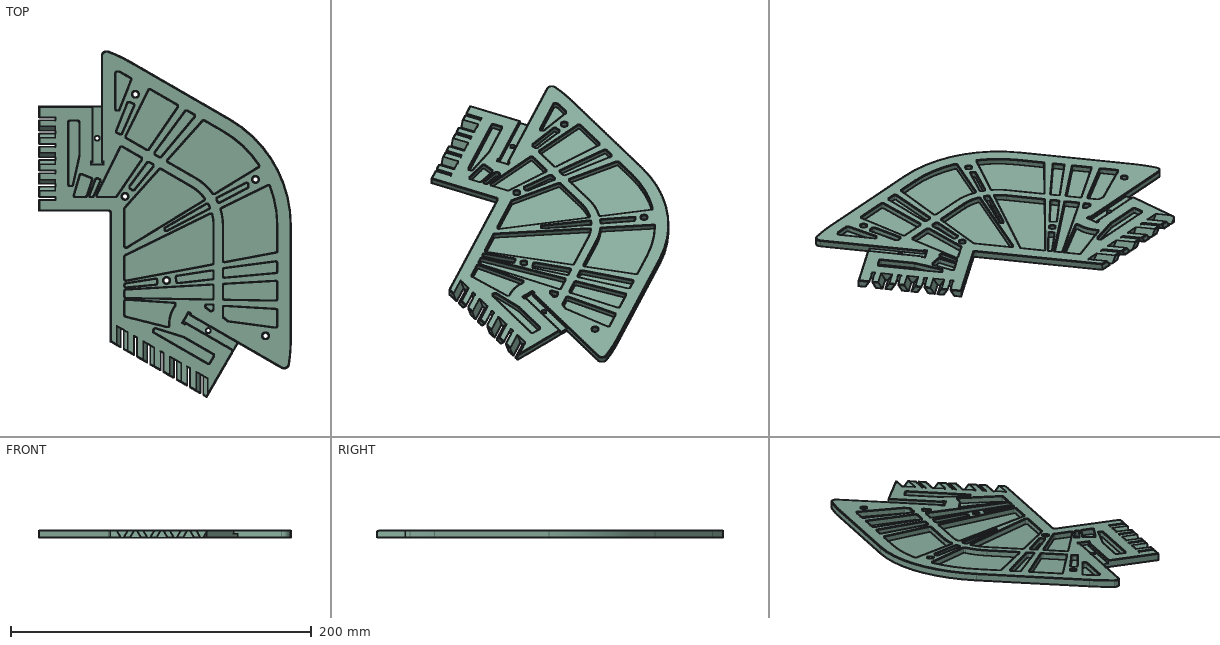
import cadquery as cq
import math

axis_angle = 30

thickness = 5.0
outer_radius = 81.7
straight_length = 76.0
bend_radius = 103.5
tip_radius = 3.5
wall_distance = 44.5

arm_end = 86.0
arm_side = 79.1
inner_corner = (-38.5, 9.7)
inner_corner_radius = 1.4

edge_chamfer = 0.5

floor_thickness = 1.2
margin = 9.5
spine_inner = 30.0
spine_outer = 36.5
pocket_corner_radius = 1.0

groove_width = 5.8
groove_end = 40.7
groove_depth = 2.3
relief_length = 1.4
relief_overhang = 1.0

hole_diameter = 4.0
groove_hole_diameter = 3.2

slot_span = 53.0
slot_count = 7
finger_pitch = slot_span / (slot_count - 1)
finger_depth = 11.0
slot_narrow = 1.73
slot_wall_angle = 30
slot_flare = thickness * math.tan(math.radians(slot_wall_angle))
left_slots_middle = (inner_corner[1] + arm_side) / 2
lower_slots_middle = -4.1

reach = 138


def mirrored(point):
    """Reflect a point about the symmetry line."""
    x, y = point
    double = math.radians(2 * axis_angle)
    return (
        x * math.cos(double) + y * math.sin(double),
        x * math.sin(double) - y * math.cos(double),
    )


def on_circle(centre, radius, degrees):
    angle = math.radians(degrees)
    return (centre[0] + radius * math.cos(angle), centre[1] + radius * math.sin(angle))


def prism(points, bottom=0.0, height=thickness):
    return cq.Workplane("XY").workplane(offset=bottom).polyline(points).close().extrude(height)



def tip_angle(bend_centre):
    """Angle on the lower bend, in degrees, at which it meets the lower plate wall."""
    wall_normal = 180 + 2 * axis_angle
    normal = on_circle((0, 0), 1, wall_normal)
    to_wall = wall_distance - bend_centre[0] * normal[0] - bend_centre[1] * normal[1]
    return wall_normal + math.degrees(math.acos(to_wall / bend_radius)) - 360


def make_blank():
    """Solid plate with both arms, before anything is cut into it."""
    bend_start = (outer_radius, -straight_length)
    bend_centre = (outer_radius - bend_radius, -straight_length)
    end_angle = tip_angle(bend_centre)
    bend_middle = on_circle(bend_centre, bend_radius, end_angle / 2)
    tip = on_circle(bend_centre, bend_radius, end_angle)

    arm_root = (-wall_distance, arm_side)
    arm_corner = (-arm_end, arm_side)
    slope = math.tan(math.radians(axis_angle))
    lower_end = -arm_end / math.cos(math.radians(axis_angle)) - inner_corner[0] * slope

    blank = (
        cq.Workplane("XY")
        .moveTo(-arm_end, inner_corner[1])
        .lineTo(*arm_corner)
        .lineTo(*arm_root)
        .lineTo(*mirrored(tip))
        .threePointArc(mirrored(bend_middle), mirrored(bend_start))
        .lineTo(*mirrored((outer_radius, 0)))
        .threePointArc(on_circle((0, 0), outer_radius, axis_angle), (outer_radius, 0))
        .lineTo(*bend_start)
        .threePointArc(bend_middle, tip)
        .lineTo(*mirrored(arm_root))
        .lineTo(*mirrored(arm_corner))
        .lineTo(inner_corner[0], lower_end)
        .lineTo(*inner_corner)
        .close()
        .extrude(thickness)
    )
    for corner, radius in (
        (tip, tip_radius),
        (mirrored(tip), tip_radius),
        (inner_corner, inner_corner_radius),
    ):
        point = (corner[0], corner[1], thickness / 2)
        blank = blank.edges(cq.selectors.NearestToPointSelector(point)).fillet(radius)
    return blank



def inside(distance):
    """Everything closer to the origin than an outline parallel to the outer sides."""
    far_end = (distance, -reach)
    return (
        cq.Workplane("XY")
        .moveTo(*far_end)
        .lineTo(distance, 0)
        .threePointArc(on_circle((0, 0), distance, axis_angle), mirrored((distance, 0)))
        .lineTo(*mirrored(far_end))
        .lineTo(-reach, -reach)
        .close()
        .extrude(thickness)
    )


floor_left = inner_corner[0] + margin
floor_bottom = inner_corner[1] + margin
outer_band = inside(outer_radius - margin).cut(inside(spine_outer))
inner_band = inside(spine_inner).cut(
    prism([(-reach, -reach), (floor_left, -reach), (floor_left, floor_bottom), (-reach, floor_bottom)])
)

two_band_cells = [
    [(-50.6, 13.8), (-9.5, 97.3), (13.5, 89.7), (-39.8, 11.7)],
    [(-47.9, -9.7), (33.8, 81.7), (76.0, 48.8), (-39.3, -21.6)],
    [(-39.3, -25.3), (76.0, 31.3), (82.8, -15.6), (-39.3, -38.7)],
    [(-39.3, -43.5), (82.8, -36.4), (82.8, -50.0), (-39.3, -47.9)],
]
outer_cells = [
    [(-12.9, 43.0), (18.6, 85.8), (27.5, 84.7), (-9.7, 40.0)],
    [(31.0, 17.5), (53.0, 28.8), (53.0, 25.3), (31.0, 13.8)],
    [(32.2, -29.2), (82.8, -22.5), (82.8, -30.4), (32.2, -35.0)],
    [(32.2, -53.4), (82.8, -56.4), (82.8, -69.3), (39.8, -63.5), (36.4, -60.7), (32.2, -57.3)],
]
inner_cells = [
    [(-26.0, 25.3), (-9.2, 48.0), (-3.7, 47.2), (-23.2, 23.2)],
    [(-2.8, -2.0), (31.0, 17.5), (31.0, 13.3), (-1.5, -3.7)],
    [(5.0, -33.8), (34.5, -29.2), (34.5, -35.0), (5.8, -38.2)],
    [(-32.2, -39.3), (-7.5, -35.5), (-7.5, -39.0), (-32.2, -41.5)],
    [(24.8, -52.7), (34.5, -52.7), (34.5, -51.5), (28.5, -57.0), (24.8, -54.3)],
    [(-58.5, 34.3), (-50.6, 31.0), (-56.4, 13.8), (-64.5, 13.8)],
    [(-47.9, 31.5), (-45.0, 30.1), (-52.5, 13.8), (-54.8, 13.8)],
]
wall_cells = [
    [(-35.0, 102.2), (-32.7, 102.2), (-24.6, 97.5), (-33.0, 76.5), (-35.0, 76.5)],
    [(-26.7, 82.1), (-22.5, 80.5), (-31.3, 60.5), (-34.7, 62.1)],
]
arm_pocket = [(-66.3, 69.5), (-59.4, 69.5), (-59.4, 46.0), (-63.7, 26.5), (-66.3, 26.5)]


def rounded(pocket):
    """Round a pocket's upright corners and lift it onto the pocket floor."""
    return pocket.edges("|Z").fillet(pocket_corner_radius).translate((0, 0, floor_thickness))


def groove_end_pocket():
    """Pocket at the foot of the lower arm, curved around the end of the panel groove."""
    return (
        cq.Workplane("XY")
        .moveTo(floor_left, -49.5)
        .lineTo(5.5, -51.8)
        .threePointArc((1.4, -59.1), (0.5, -67.6))
        .lineTo(floor_left, -60.3)
        .close()
        .extrude(thickness)
    )


def make_pockets():
    pockets = [groove_end_pocket()]
    pockets += [prism(cell).intersect(outer_band) for cell in two_band_cells + outer_cells]
    pockets += [prism(cell).intersect(inner_band) for cell in two_band_cells + inner_cells]
    pockets += [prism(cell) for cell in wall_cells]
    pockets += [prism(arm_pocket), prism([mirrored(point) for point in arm_pocket])]
    return [rounded(pocket) for pocket in pockets]



def groove_outline():
    """Left panel groove, open at the arm's side and with a wider relief at its closed end."""
    right = -wall_distance
    left = right - groove_width
    relief_top = groove_end + relief_length
    return [
        (left, arm_side),
        (left, relief_top),
        (left - relief_overhang, relief_top),
        (left - relief_overhang, groove_end),
        (right + relief_overhang, groove_end),
        (right + relief_overhang, relief_top),
        (right, relief_top),
        (right, arm_side),
    ]


plate_holes = [(-21.9, 87.2), (58.0, 30.5), (-28.8, 19.3), (-1.2, -36.5), (64.6, -73.5)]
groove_hole = (-wall_distance - groove_width / 2, 58.0)


def make_holes(centres, diameter):
    return cq.Workplane("XY").pushPoints(centres).circle(diameter / 2).extrude(thickness)


def slot_bars(plane, middle, first_wide_up):
    """Dovetail bars on a plane through the thickness, wide side up and down in turn."""
    bars = cq.Workplane(plane)
    for i in range(slot_count):
        centre = middle + (i - (slot_count - 1) / 2) * finger_pitch
        wide_up = (i % 2 == 0) == first_wide_up
        narrow_half = slot_narrow / 2
        wide_half = narrow_half + slot_flare
        top, bottom = (wide_half, narrow_half) if wide_up else (narrow_half, wide_half)
        bars = bars.polyline([
            (centre - bottom, 0),
            (centre + bottom, 0),
            (centre + top, thickness),
            (centre - top, thickness),
        ]).close()
    return bars.extrude(reach, both=True)


def finger_slots():
    inner_end = finger_depth - arm_end
    strip = [(-reach, -reach), (inner_end, -reach), (inner_end, reach), (-reach, reach)]
    left = slot_bars("YZ", left_slots_middle, False).intersect(prism(strip))
    lower_strip = prism([mirrored(point) for point in strip])
    lower = slot_bars("XZ", lower_slots_middle, True).intersect(lower_strip)
    return left, lower


result = make_blank()
for pocket in make_pockets():
    result = result.cut(pocket)
for outline in (groove_outline(), [mirrored(point) for point in groove_outline()]):
    result = result.cut(prism(outline, thickness - groove_depth, groove_depth))
result = result.cut(make_holes(plate_holes, hole_diameter))
result = result.faces(">Z or <Z").chamfer(edge_chamfer)
result = result.cut(make_holes([groove_hole, mirrored(groove_hole)], groove_hole_diameter))
for slots in finger_slots():
    result = result.cut(slots)